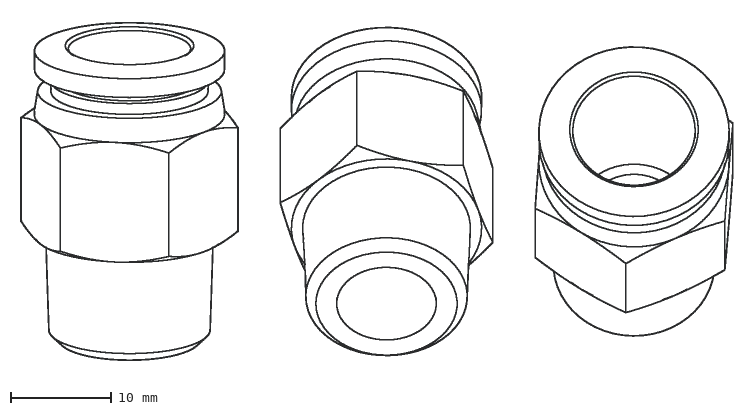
import cadquery as cq
import math

hex_across_flats = 19.0
hex_bottom = 11.0
hex_top = 23.5
hex_chamfer_angle = 30
hex_across_corners = hex_across_flats / math.cos(math.radians(30))
flat_radius = hex_across_flats / 2
corner_radius = hex_across_corners / 2
corner_drop = (corner_radius - flat_radius) * math.tan(math.radians(hex_chamfer_angle))

taper_per_height = 1 / 32
end_chamfer = 1.0
taper_top_radius = 8.38
taper_bottom_radius = taper_top_radius - (hex_bottom - end_chamfer) * taper_per_height

collar_straight_top = 23.95
collar_top = 25.95
collar_top_radius = 9.18
ring_top = 27.08
ring_radius = 7.85
neck_top = 28.2
neck_radius = 6.95
cap_edge_top = 30.18
cap_face_radius = 6.72
total_height = 30.7

through_radius = 4.97
socket_radius = 6.1
socket_floor = hex_bottom
mouth_radius = 6.42
mouth_depth = 0.3


def revolve_profile(points):
    """Revolve a closed (radius, height) outline about the Z axis."""
    return cq.Workplane("XZ").polyline(points).close().revolve(360, (0, 0), (0, 1))


def hex_body():
    """Hexagon with conical corner chamfers at both ends."""
    prism = (
        cq.Workplane("XY")
        .workplane(offset=hex_bottom)
        .polygon(6, hex_across_corners)
        .extrude(hex_top - hex_bottom)
    )
    envelope = revolve_profile([
        (0, hex_bottom),
        (flat_radius, hex_bottom),
        (corner_radius, hex_bottom + corner_drop),
        (corner_radius, hex_top - corner_drop),
        (flat_radius, hex_top),
        (0, hex_top),
    ])
    return prism.intersect(envelope)


def connection_end():
    return revolve_profile([
        (0, 0),
        (taper_bottom_radius - end_chamfer, 0),
        (taper_bottom_radius, end_chamfer),
        (taper_top_radius, hex_bottom),
        (0, hex_bottom),
    ])


def release_end():
    return revolve_profile([
        (0, hex_top),
        (flat_radius, hex_top),
        (flat_radius, collar_straight_top),
        (collar_top_radius, collar_top),
        (ring_radius, collar_top),
        (ring_radius, ring_top),
        (neck_radius, ring_top),
        (neck_radius, neck_top),
        (flat_radius, neck_top),
        (flat_radius, cap_edge_top),
        (cap_face_radius, total_height),
        (0, total_height),
    ])


def stepped_bore():
    """Tube socket with a chamfered mouth above a narrower through bore."""
    return revolve_profile([
        (0, 0),
        (through_radius, 0),
        (through_radius, socket_floor),
        (socket_radius, socket_floor),
        (socket_radius, total_height - mouth_depth),
        (mouth_radius, total_height),
        (0, total_height),
    ])


result = hex_body().union(connection_end()).union(release_end()).cut(stepped_bore())